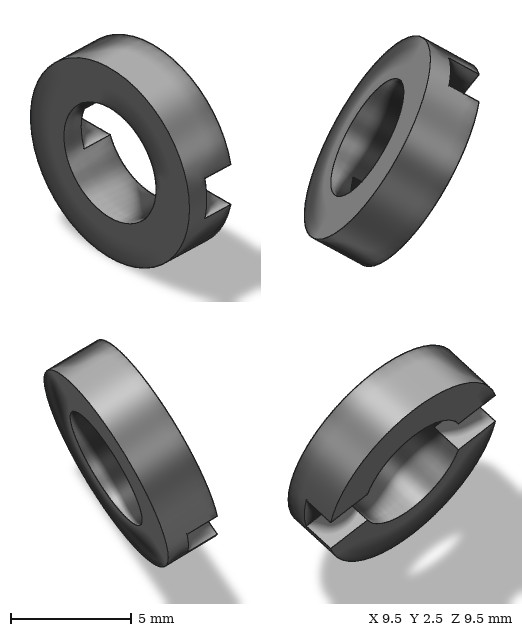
import cadquery as cq

outer_diameter = 9.5
bore_diameter = 5.5
thickness = 2.5

slot_width = 2.0
slot_depth = 1.5


def make_ring():
    """Flat ring centred on the origin in X and Z, from Y = 0 to Y = thickness."""
    return (
        cq.Workplane("XZ")
        .circle(outer_diameter / 2)
        .circle(bore_diameter / 2)
        .extrude(-thickness)
    )


def make_slot_cutter():
    """Block that removes the slot from the back face."""
    slot_floor = thickness - slot_depth
    return (
        cq.Workplane("XY")
        .box(outer_diameter, slot_depth, slot_width, centered=(True, False, True))
        .translate((0, slot_floor, 0))
    )


result = make_ring().cut(make_slot_cutter())